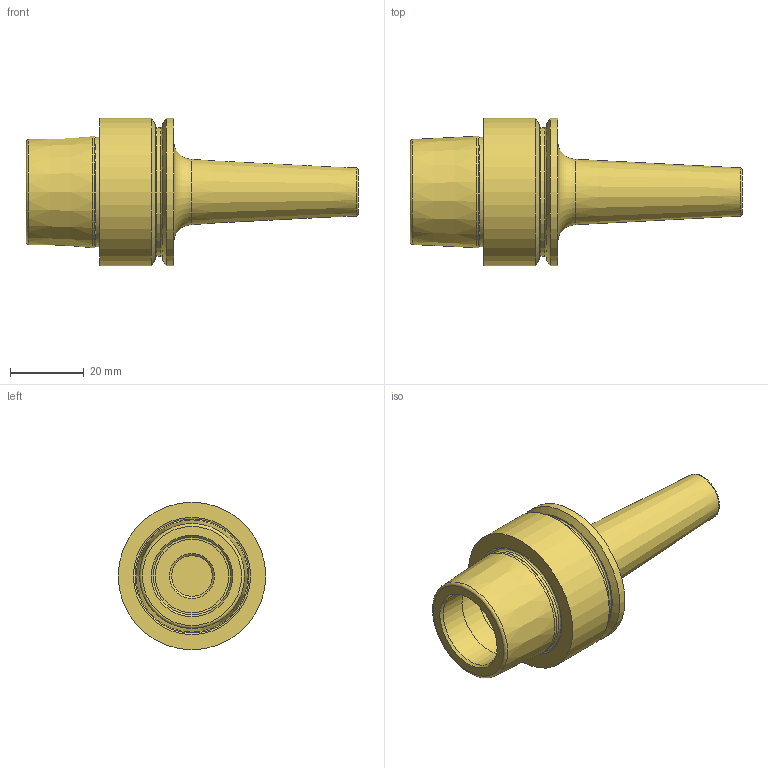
import cadquery as cq
import math


shank_length = 20.0
shank_front_x = -shank_length
gauge_x = -4.0
gauge_radius = 15.0
taper_ratio = 9.98
taper_end_x = -2.0
rim_end_x = -1.3
neck_start_x = -1.1
neck_radius = 14.9
nose_fillet = 0.8

relief_radius = 15.87
relief_angle = math.radians(22)
relief_depth = (relief_radius - neck_radius) * math.tan(relief_angle)
relief_fillet = 0.4

flange_radius = 20.0
flange_length = 20.0
groove_center_x = 16.0
groove_width = 4.0
groove_half_angle = math.radians(30)
groove_slot_width = 1.9
groove_floor_radius = 17.45
groove_floor_fillet = 0.45

stem_end_x = 70.0
stem_tip_radius = 6.5
stem_half_angle = math.radians(3)
stem_root_fillet = 5.0
stem_tip_fillet = 0.5

bore_radius = 10.5
bore_mouth_radius = 11.0
bore_chamfer_length = 0.75
bore_length = 8.0
bore_end_x = shank_front_x + bore_length
chamber_radius = 12.75
chamber_shoulder_angle = math.radians(30)
chamber_floor_x = -1.4
chamber_floor_fillet = 2.8

pocket_radius = 5.5
pocket_mouth_radius = 6.1
pocket_depth = 5.0


def taper_radius(x):
    """Radius of the locating taper at position x."""
    return gauge_radius + (x - gauge_x) / (2 * taper_ratio)


def stem_radius(x):
    """Radius of the stem's cone at position x."""
    return stem_tip_radius + (stem_end_x - x) * math.tan(stem_half_angle)


def turned(points):
    """Solid of revolution about X from (x, radius) points."""
    return cq.Workplane("XY").polyline(points).close().revolve(360, (0, 0, 0), (1, 0, 0))


def circle_at(x, radius):
    """Selector for the circular edge of the given radius, centred on the axis at x."""
    margin = 0.01
    reach = radius + margin
    inner = radius - margin
    around = cq.selectors.BoxSelector(
        (x - margin, -reach, -reach), (x + margin, reach, reach), boundingbox=True)
    smaller = cq.selectors.BoxSelector(
        (x - margin, -inner, -inner), (x + margin, inner, inner), boundingbox=True)
    return around - smaller


def make_outer_body():
    rim_radius = taper_radius(taper_end_x)
    stem_root_radius = stem_radius(flange_length)
    body = turned([
        (shank_front_x, 0),
        (shank_front_x, taper_radius(shank_front_x)),
        (taper_end_x, rim_radius),
        (rim_end_x, rim_radius),
        (neck_start_x, neck_radius),
        (relief_depth, neck_radius),
        (0, relief_radius),
        (0, flange_radius),
        (flange_length, flange_radius),
        (flange_length, stem_root_radius),
        (stem_end_x, stem_tip_radius),
        (stem_end_x, 0),
    ])
    body = body.edges(circle_at(shank_front_x, taper_radius(shank_front_x))).fillet(nose_fillet)
    body = body.edges(circle_at(relief_depth, neck_radius)).fillet(relief_fillet)
    body = body.edges(circle_at(flange_length, stem_root_radius)).fillet(stem_root_fillet)
    return body.edges(circle_at(stem_end_x, stem_tip_radius)).fillet(stem_tip_fillet)


def make_gripper_groove():
    """Ring that removes a V with a straight, round-cornered slot at its root."""
    half_width = groove_width / 2
    half_slot = groove_slot_width / 2
    slot_top_radius = flange_radius - (half_width - half_slot) / math.tan(groove_half_angle)
    groove = turned([
        (groove_center_x - half_width, flange_radius),
        (groove_center_x - half_slot, slot_top_radius),
        (groove_center_x - half_slot, groove_floor_radius),
        (groove_center_x + half_slot, groove_floor_radius),
        (groove_center_x + half_slot, slot_top_radius),
        (groove_center_x + half_width, flange_radius),
    ])
    for side in (-1, 1):
        corner = circle_at(groove_center_x + side * half_slot, groove_floor_radius)
        groove = groove.edges(corner).fillet(groove_floor_fillet)
    return groove


def make_cavity():
    """Bore, undercut clamping chamber and floor pocket as one solid to remove."""
    shoulder_length = (chamber_radius - bore_radius) * math.tan(chamber_shoulder_angle)
    pocket_chamfer = pocket_mouth_radius - pocket_radius
    pocket_end_x = chamber_floor_x + pocket_depth
    cavity = turned([
        (shank_front_x, 0),
        (shank_front_x, bore_mouth_radius),
        (shank_front_x + bore_chamfer_length, bore_radius),
        (bore_end_x, bore_radius),
        (bore_end_x + shoulder_length, chamber_radius),
        (chamber_floor_x, chamber_radius),
        (chamber_floor_x, pocket_mouth_radius),
        (chamber_floor_x + pocket_chamfer, pocket_radius),
        (pocket_end_x, pocket_radius),
        (pocket_end_x, 0),
    ])
    return cavity.edges(circle_at(chamber_floor_x, chamber_radius)).fillet(chamber_floor_fillet)


result = make_outer_body().cut(make_gripper_groove()).cut(make_cavity())